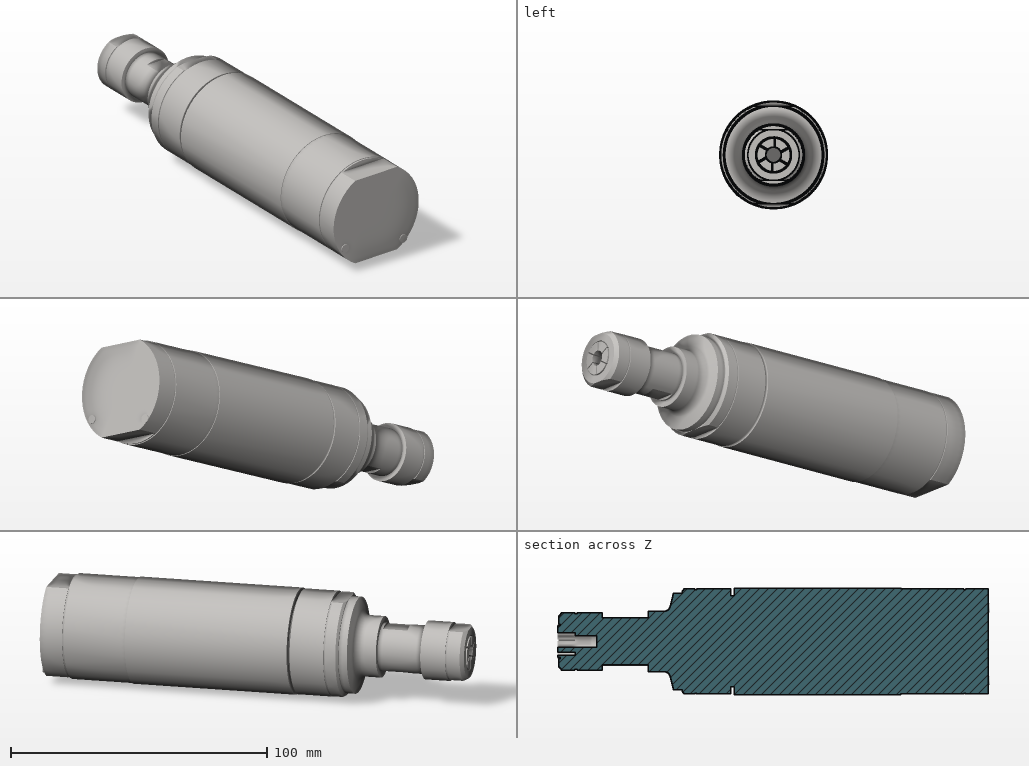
import cadquery as cq
import math

TOTAL_LENGTH = 168.5
COLLET_PROTRUSION = 0.3
NUT_CHAMFER_END = 1.7
NUT_GROOVE_START = 6.9
NUT_END = 17.5
COLLAR_START = 35.2
COLLAR_FILLET_START = 41.5
FLANGE_START = 45.1
FLANGE_END = 48.5
WRENCH_RING_END = 54.2
SLEEVE_GAP_START = 67.7
SLEEVE_START = 68.9
SLEEVE_END = 133.9
CAP_GROOVE_START = 158.5
PAD_HEIGHT = 0.3
CAP_END = TOTAL_LENGTH - PAD_HEIGHT

NUT_DIAMETER = 23.0
NUT_FACE_DIAMETER = 20.0
NECK_DIAMETER = 19.0
COLLAR_DIAMETER = 24.0
FLANGE_DIAMETER = 38.0
BODY_DIAMETER = 41.5
SLEEVE_DIAMETER = 42.0
SLEEVE_GAP_DIAMETER = 36.0

CONE_ANGLE = 73.0
COLLAR_FILLET_RADIUS = 2.5
BODY_CHAMFER_LENGTH = 0.8
BODY_CHAMFER_HEIGHT = 1.2
GROOVE_WIDTH = 0.7
GROOVE_DEPTH = 0.3

NUT_FLATS = 19.7
NECK_FLATS = 17.0
NECK_FLATS_START = 24.5
NECK_FLATS_END = 34.2
RING_FLATS = FLANGE_DIAMETER
CAP_FLATS = 36.0

COLLET_DIAMETER = 13.1
COLLET_SEAT_DIAMETER = 14.0
COLLET_GAP_DEPTH = 1.0
COLLET_BORE_DIAMETER = 6.0
COLLET_BORE_DEPTH = 15.2
SLIT_COUNT = 6
SLIT_WIDTH = 0.5
SLIT_OFFSET = 0.5
SLIT_DEPTH = 6.7

REAR_PADS = [(13.1, -14.1, 3.5), (-15.2, -10.0, 3.5)]


def turned_body():
    """Revolve the half outline of the whole spindle about the X axis."""
    nut_r = NUT_DIAMETER / 2
    neck_r = NECK_DIAMETER / 2
    collar_r = COLLAR_DIAMETER / 2
    flange_r = FLANGE_DIAMETER / 2
    body_r = BODY_DIAMETER / 2
    sleeve_r = SLEEVE_DIAMETER / 2
    gap_r = SLEEVE_GAP_DIAMETER / 2

    angle = math.radians(CONE_ANGLE)
    fillet_mid = (
        COLLAR_FILLET_START + COLLAR_FILLET_RADIUS * math.sin(angle / 2),
        collar_r + COLLAR_FILLET_RADIUS * (1 - math.cos(angle / 2)),
    )
    fillet_end = (
        COLLAR_FILLET_START + COLLAR_FILLET_RADIUS * math.sin(angle),
        collar_r + COLLAR_FILLET_RADIUS * (1 - math.cos(angle)),
    )

    outline = (
        cq.Workplane("XY")
        .moveTo(0, 0)
        .lineTo(0, COLLET_DIAMETER / 2)
        .lineTo(COLLET_PROTRUSION, COLLET_DIAMETER / 2)
        .lineTo(COLLET_PROTRUSION, NUT_FACE_DIAMETER / 2)
        .lineTo(NUT_CHAMFER_END, nut_r)
        .lineTo(NUT_END, nut_r)
        .lineTo(NUT_END, neck_r)
        .lineTo(COLLAR_START, neck_r)
        .lineTo(COLLAR_START, collar_r)
        .lineTo(COLLAR_FILLET_START, collar_r)
        .threePointArc(fillet_mid, fillet_end)
        .lineTo(FLANGE_START, flange_r)
        .lineTo(FLANGE_END, flange_r)
        .lineTo(FLANGE_END, body_r - BODY_CHAMFER_HEIGHT)
        .lineTo(FLANGE_END + BODY_CHAMFER_LENGTH, body_r)
        .lineTo(SLEEVE_GAP_START, body_r)
        .lineTo(SLEEVE_GAP_START, gap_r)
        .lineTo(SLEEVE_START, gap_r)
        .lineTo(SLEEVE_START, sleeve_r)
        .lineTo(SLEEVE_END, sleeve_r)
        .lineTo(SLEEVE_END, body_r)
        .lineTo(CAP_END, body_r)
        .lineTo(CAP_END, 0)
        .close()
    )
    return outline.revolve(360, (0, 0, 0), (1, 0, 0))


def cylinder(start, length, diameter, y=0, z=0):
    """Cylinder along X, starting at the given station."""
    return cq.Workplane("YZ", origin=(start, y, z)).circle(diameter / 2).extrude(length)


def ring_groove(start, diameter):
    """Cutter for a shallow ring groove in a section of the given diameter."""
    outer = cylinder(start, GROOVE_WIDTH, diameter + 1.7)
    return outer.cut(cylinder(start, GROOVE_WIDTH, diameter - 2 * GROOVE_DEPTH))


def cut_flats(body, start, end, across):
    """Cut a pair of flats, facing up and down, between two stations."""
    slab = SLEEVE_DIAMETER
    for side in (1, -1):
        cutter = (
            cq.Workplane("XY")
            .box(end - start, slab, slab)
            .translate(((start + end) / 2, 0, side * (across + slab) / 2))
        )
        body = body.cut(cutter)
    return body


def cut_collet(body):
    """Cut the gap around the collet, then its bore and slits."""
    seat_gap = cylinder(0, COLLET_GAP_DEPTH, COLLET_SEAT_DIAMETER)
    body = body.cut(seat_gap.cut(cylinder(0, COLLET_GAP_DEPTH, COLLET_DIAMETER)))
    body = body.cut(cylinder(0, COLLET_BORE_DEPTH, COLLET_BORE_DIAMETER))
    slit_length = COLLET_DIAMETER / 2
    for index in range(SLIT_COUNT):
        slit = (
            cq.Workplane("XY")
            .box(SLIT_DEPTH, SLIT_WIDTH, slit_length)
            .translate((SLIT_DEPTH / 2, -SLIT_OFFSET, slit_length / 2))
            .rotate((0, 0, 0), (1, 0, 0), index * 360 / SLIT_COUNT)
        )
        body = body.cut(slit)
    return body


result = turned_body()

result = result.cut(ring_groove(NUT_GROOVE_START, NUT_DIAMETER))
result = result.cut(ring_groove(WRENCH_RING_END - GROOVE_WIDTH, BODY_DIAMETER))
result = result.cut(ring_groove(CAP_GROOVE_START, BODY_DIAMETER))

result = cut_flats(result, 0, NUT_GROOVE_START + GROOVE_WIDTH, NUT_FLATS)
result = cut_flats(result, NECK_FLATS_START, NECK_FLATS_END, NECK_FLATS)
result = cut_flats(result, FLANGE_END, WRENCH_RING_END, RING_FLATS)
result = cut_flats(result, CAP_GROOVE_START + GROOVE_WIDTH, CAP_END, CAP_FLATS)

result = cut_collet(result)

for pad_y, pad_z, pad_diameter in REAR_PADS:
    result = result.union(cylinder(CAP_END, PAD_HEIGHT, pad_diameter, pad_y, pad_z))